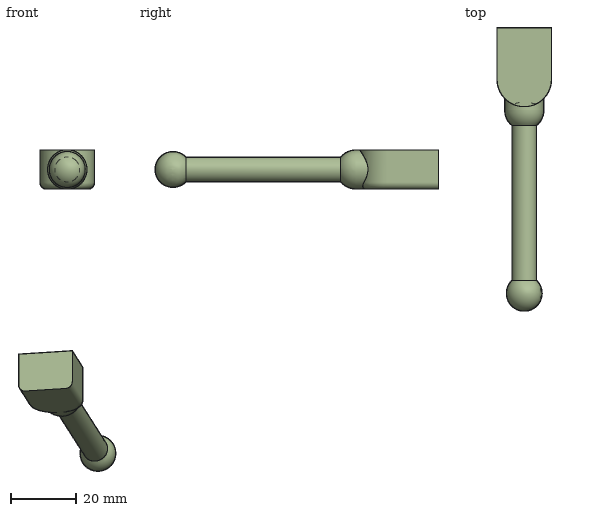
import cadquery as cq
import math

total_length = 86.95
block_width = 16.8
block_height = 12.1
block_straight_length = 15.8
bottom_fillet = 2.0
neck_end_distance = 25.3
rod_diameter = 7.65
ball_diameter = 11.0

nose_radius = block_width / 2
nose_start = -block_straight_length
nose_tip = nose_start - nose_radius
neck_radius = block_height / 2
neck_end = -neck_end_distance
rod_radius = rod_diameter / 2
ball_radius = ball_diameter / 2
dome_end = neck_end - math.sqrt(neck_radius**2 - rod_radius**2)
ball_center = -total_length + ball_radius
rod_length = dome_end - ball_center


def make_base_block():
    """Block with a rounded nose, and bottom edges rounded along the sides and nose."""
    block = (
        cq.Workplane("XY", origin=(0, 0, -block_height / 2))
        .moveTo(-nose_radius, 0)
        .lineTo(-nose_radius, nose_start)
        .threePointArc((0, nose_tip), (nose_radius, nose_start))
        .lineTo(nose_radius, 0)
        .close()
        .extrude(block_height)
    )
    rounded_edges = block.faces("<Z").edges("not >Y")
    return rounded_edges.fillet(bottom_fillet)


def make_domed_neck():
    """Cylindrical neck ending in a spherical dome, cut flat where the rod starts."""
    dome_angle = math.acos(rod_radius / neck_radius)
    half_angle = dome_angle / 2
    dome_middle = (
        neck_radius * math.cos(half_angle),
        neck_end - neck_radius * math.sin(half_angle),
    )
    return (
        cq.Workplane("XY")
        .moveTo(0, nose_start)
        .lineTo(neck_radius, nose_start)
        .lineTo(neck_radius, neck_end)
        .threePointArc(dome_middle, (rod_radius, dome_end))
        .lineTo(0, dome_end)
        .close()
        .revolve(360, (0, 0, 0), (0, 1, 0))
    )


def make_housing():
    """Base block with its domed neck."""
    block = make_base_block()
    neck = make_domed_neck()
    return block.union(neck)


def make_lever():
    """Rod that butts against the dome and carries a ball at its free end."""
    rod = cq.Workplane("XZ", origin=(0, dome_end, 0)).circle(rod_radius).extrude(rod_length)
    ball = cq.Workplane("XY", origin=(0, ball_center, 0)).sphere(ball_radius)
    return rod.union(ball)


housing = make_housing()
lever = make_lever()

result = cq.Compound.makeCompound([housing.val(), lever.val()])